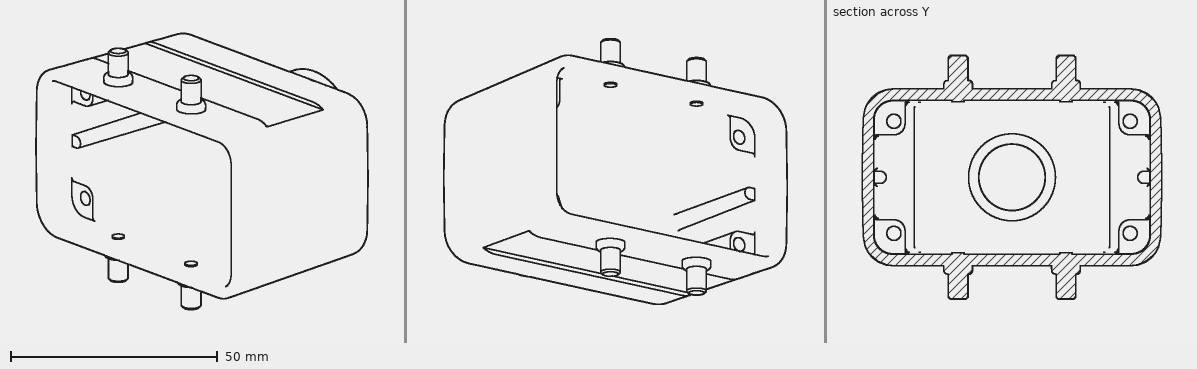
import cadquery as cq
import math

TOUCH = 7.28e-07
LENGTHWISE = "not(#Y)"

OUTER_DRAFT = math.tan(math.radians(1.1))
INNER_DRAFT = math.tan(math.radians(0.6))

HALF_WIDTH = 36.4
HALF_HEIGHT = 21.55
BODY_DEPTH = 45.0
CORNER_RADIUS = 7.4
BACK_FILLET = 3.1
MOUTH_FILLET = 0.6

WALL = 3.0
CAVITY_HALF_WIDTH = HALF_WIDTH - WALL
CAVITY_HALF_HEIGHT = HALF_HEIGHT - WALL
CAVITY_RADIUS = CORNER_RADIUS - WALL
FLOOR_WALL = 2.25
FLOOR_Y = BODY_DEPTH - FLOOR_WALL
CAVITY_MOUTH_FILLET = 0.6
POCKET_FILLET = 1.45

SHELF_Y = 39.15
SHELF_HALF_SPAN = 23.6
SHELF_ROOT_FILLET = 0.45

POST_FRONT_Y = 9.3
POST_INNER_X = 25.8
POST_INNER_Z = 10.25
POST_RADIUS = 2.7
POST_HOLE_DIAMETER = 3.4
POST_HOLE_DEPTH = 14.55
POST_HOLE_X = 28.5
POST_HOLE_Z = 13.5
POST_ROOT_FILLET = 0.7

RIB_FRONT_Y = 9.45
RIB_DIAMETER = 3.0
RIB_X = 31.9

RECESS_FRONT_Y = 13.25
RECESS_BACK_Y = 31.95
RECESS_DEPTH = 1.0

PIN_X = 13.0
PIN_Y = 5.9
PIN_TIP_Z = 29.435
PIN_DIAMETER = 4.8
PIN_CHAMFER = 0.5
COLLAR_DIAMETER = 7.0
COLLAR_FILLET = 0.95
COLLAR_TOP_Z = 23.4
RIVET_DIAMETER = 3.0
RIVET_END_Z = 18.2

ENTRY_DIAMETER = 30.0
ENTRY_END_Y = 58.6
ENTRY_TIP_FILLET = 0.9
ENTRY_ROOT_FILLET = 0.5
BORE_DIAMETER = 21.0
BORE_FILLET = 0.45
CABLE_HOLE_DIAMETER = 16.0
END_WALL = 2.9


def xz_plane(y):
    """Sketch plane at depth y: local x is X, local y is Z; negative extrusions run toward +Y."""
    return cq.Workplane("XZ", origin=(0, y, 0))


def drafted_solid(outline, front_y, back_y):
    """Flat-sided solid between two depths; outline(y) gives its (x, z) corners at depth y."""
    sections = []
    for y in (front_y, back_y):
        corners = [cq.Vector(x, y, z) for x, z in outline(y)]
        sections.append(cq.Wire.makePolygon(corners, close=True))
    return cq.Workplane(cq.Solid.makeLoft(sections, True))


def both_sides(solid, *planes):
    """Solid joined with its mirror image in each of the given planes in turn."""
    for plane in planes:
        solid = solid.union(solid.mirror(plane))
    return solid


def upper_body_outline(y):
    """Upper half outline; its short sides lean inward from the parting line at Z = 0."""
    inset = (y - MOUTH_FILLET) * OUTER_DRAFT
    x = HALF_WIDTH - inset
    z = HALF_HEIGHT - inset
    top_x = x - z * OUTER_DRAFT
    return [(x, 0), (top_x, z), (-top_x, z), (-x, 0)]


def make_body():
    upper = drafted_solid(upper_body_outline, 0, BODY_DEPTH)
    upper = upper.edges(LENGTHWISE).edges(">Z").fillet(CORNER_RADIUS)
    upper = upper.faces(">Y").edges("not(<Z)").fillet(BACK_FILLET)
    upper = upper.faces("<Y").edges("not(<Z)").fillet(MOUTH_FILLET)
    return both_sides(upper, "XY")


def make_upper_recess():
    """Wedge whose floor follows the drafted long side at a constant depth."""
    front_z = HALF_HEIGHT - RECESS_DEPTH - RECESS_FRONT_Y * OUTER_DRAFT
    back_z = HALF_HEIGHT - RECESS_DEPTH - RECESS_BACK_Y * OUTER_DRAFT
    profile = [
        (RECESS_FRONT_Y, front_z),
        (RECESS_BACK_Y, back_z),
        (RECESS_BACK_Y, HALF_HEIGHT),
        (RECESS_FRONT_Y, HALF_HEIGHT),
    ]
    return cq.Workplane("YZ").polyline(profile).close().extrude(HALF_WIDTH, both=True)


def cavity_outline(y):
    x = CAVITY_HALF_WIDTH - y * INNER_DRAFT
    z = CAVITY_HALF_HEIGHT - y * INNER_DRAFT
    return [(-x, -z), (x, -z), (x, z), (-x, z)]


def make_shelf():
    """Block that leaves the +X end of the cavity shallower than its middle."""
    size = (HALF_WIDTH - SHELF_HALF_SPAN, BODY_DEPTH - SHELF_Y, 2 * HALF_HEIGHT)
    block = cq.Workplane("XY", origin=(SHELF_HALF_SPAN, SHELF_Y, 0))
    block = block.box(*size, centered=(False, False, True))
    return block.edges("<X and <Y").fillet(POCKET_FILLET)


def post_outline(y):
    growth = (y - POST_FRONT_Y) * INNER_DRAFT
    x = POST_INNER_X - growth
    z = POST_INNER_Z - growth
    return [(x, z), (HALF_WIDTH, z), (HALF_WIDTH, HALF_HEIGHT), (x, HALF_HEIGHT)]


def make_post():
    post = drafted_solid(post_outline, POST_FRONT_Y, BODY_DEPTH)
    return post.edges(LENGTHWISE).edges("<X").edges("<Z").fillet(POST_RADIUS)


def make_post_holes():
    holes = xz_plane(POST_FRONT_Y).rect(2 * POST_HOLE_X, 2 * POST_HOLE_Z, forConstruction=True)
    return holes.vertices().circle(POST_HOLE_DIAMETER / 2).extrude(-POST_HOLE_DEPTH)


def rib_section(y):
    """D-shaped section: a half round toward the middle, flat flanks running into the wall."""
    radius = RIB_DIAMETER / 2 + (y - RIB_FRONT_Y) * INNER_DRAFT
    outline = (
        xz_plane(y)
        .moveTo(HALF_WIDTH, radius)
        .lineTo(RIB_X, radius)
        .threePointArc((RIB_X - radius, 0), (RIB_X, -radius))
        .lineTo(HALF_WIDTH, -radius)
        .close()
    )
    return outline.wires().val()


def make_rib():
    return cq.Workplane(cq.Solid.makeLoft([rib_section(RIB_FRONT_Y), rib_section(BODY_DEPTH)], True))


def edges_in_mirrored_boxes(solid, x_range, y_range, z_range):
    """Edges whose centres lie in a box given for positive X and Z, or in one of its mirror images."""
    found = []
    for edge in solid.edges().vals():
        centre = edge.Center()
        places = ((abs(centre.x), x_range), (centre.y, y_range), (abs(centre.z), z_range))
        if all(low < place < high for place, (low, high) in places):
            found.append(edge)
    return solid.newObject(found)


def make_cavity():
    """Air inside the hood: the cast cavity less its shelves, posts and ribs."""
    cavity = drafted_solid(cavity_outline, 0, FLOOR_Y)
    cavity = cavity.edges(LENGTHWISE).fillet(CAVITY_RADIUS)
    posts = both_sides(make_post(), "XY", "YZ")
    ribs = both_sides(make_rib(), "YZ")
    cavity = cavity.cut(both_sides(make_shelf(), "YZ")).cut(posts).cut(ribs)

    pocket_y = (SHELF_Y + POCKET_FILLET, FLOOR_Y - TOUCH)
    pocket_corners = edges_in_mirrored_boxes(
        cavity, (0, SHELF_HALF_SPAN + TOUCH), pocket_y, (POST_INNER_Z, HALF_HEIGHT)
    )
    cavity = cavity.faces(">Y").edges().add(pocket_corners).fillet(POCKET_FILLET)

    long_y = (POST_FRONT_Y + TOUCH, SHELF_Y - TOUCH)
    post_sides = edges_in_mirrored_boxes(cavity, (0, POST_INNER_X), long_y, (POST_HOLE_Z, HALF_HEIGHT))
    post_ends = edges_in_mirrored_boxes(cavity, (RIB_X, HALF_WIDTH), long_y, (RIB_DIAMETER, POST_HOLE_Z))
    cavity = post_sides.add(post_ends).fillet(POST_ROOT_FILLET)

    shelf_edges = edges_in_mirrored_boxes(
        cavity, (POST_INNER_X, HALF_WIDTH), (SHELF_Y - TOUCH, SHELF_Y + TOUCH), (-TOUCH, POST_HOLE_Z)
    )
    return shelf_edges.fillet(SHELF_ROOT_FILLET)


def make_upper_pin(x):
    """Stepped pin pressed through the upper long side, with its rivet end inside the cavity."""
    shank = PIN_DIAMETER / 2
    collar = COLLAR_DIAMETER / 2
    rivet = RIVET_DIAMETER / 2
    in_wall_z = CAVITY_HALF_HEIGHT + WALL / 2
    profile = (
        cq.Workplane("XZ")
        .moveTo(0, RIVET_END_Z)
        .lineTo(rivet, RIVET_END_Z)
        .lineTo(rivet, in_wall_z)
        .lineTo(collar, in_wall_z)
        .lineTo(collar, COLLAR_TOP_Z - COLLAR_FILLET)
        .radiusArc((collar - COLLAR_FILLET, COLLAR_TOP_Z), -COLLAR_FILLET)
        .lineTo(shank, COLLAR_TOP_Z)
        .lineTo(shank, PIN_TIP_Z - PIN_CHAMFER)
        .lineTo(shank - PIN_CHAMFER, PIN_TIP_Z)
        .lineTo(0, PIN_TIP_Z)
        .close()
    )
    pin = profile.revolve(360, (0, 0, 0), (0, 1, 0))
    return pin.translate((x, PIN_Y, 0))


def make_entry():
    entry = xz_plane(FLOOR_Y).circle(ENTRY_DIAMETER / 2).extrude(FLOOR_Y - ENTRY_END_Y)
    return entry.faces(">Y").edges().fillet(ENTRY_TIP_FILLET)


def make_bore():
    """Wide bore from the cavity floor, narrowing to the cable hole at the end wall."""
    wide = xz_plane(FLOOR_Y).circle(BORE_DIAMETER / 2).extrude(FLOOR_Y + END_WALL - ENTRY_END_Y)
    narrow = xz_plane(FLOOR_Y).circle(CABLE_HOLE_DIAMETER / 2).extrude(FLOOR_Y - ENTRY_END_Y)
    return wide.union(narrow)


def circles_at(solid, y, diameter):
    """Circular edges of the given diameter, centred on the Y axis at depth y."""
    found = []
    for edge in solid.edges("%CIRCLE").vals():
        centred = (edge.arcCenter() - cq.Vector(0, y, 0)).Length < TOUCH
        if centred and abs(edge.radius() - diameter / 2) < TOUCH:
            found.append(edge)
    return solid.newObject(found)


body = make_body().cut(both_sides(make_upper_recess(), "XY")).union(make_entry())
body = circles_at(body, BODY_DEPTH, ENTRY_DIAMETER).fillet(ENTRY_ROOT_FILLET)

cavity = make_cavity()
body = body.cut(cavity).cut(make_post_holes())
inner_rim = body.faces("<Y").val().innerWires()[0].Edges()
body = body.newObject(inner_rim).fillet(CAVITY_MOUTH_FILLET)

body = body.cut(make_bore())
body = circles_at(body, FLOOR_Y, BORE_DIAMETER).fillet(BORE_FILLET)

for side in (-1, 1):
    body = body.union(both_sides(make_upper_pin(side * PIN_X), "XY"))

result = body